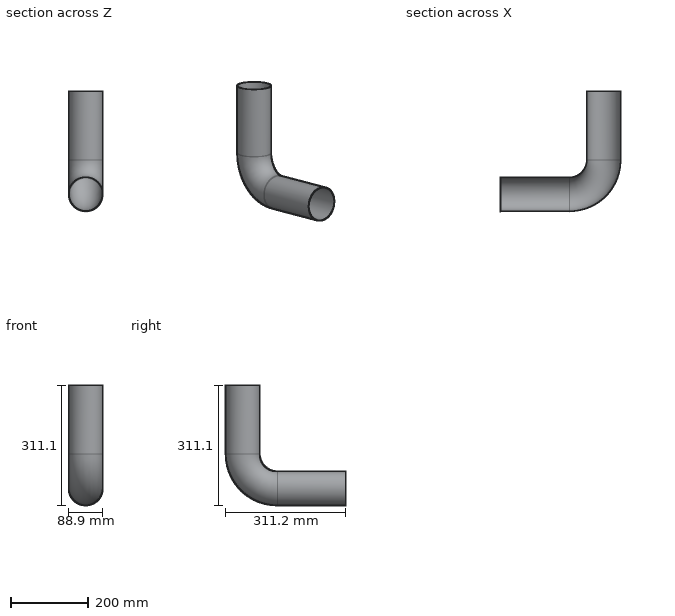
import cadquery as cq

outer_diameter = 88.9
inner_diameter = 85.7
bend_radius = outer_diameter
bend_angle = 90
leg_length = 2 * outer_diameter

leg_end = bend_radius + leg_length


def ring(workplane):
    """Draw the pipe cross-section, centred on the workplane origin."""
    return workplane.circle(outer_diameter / 2).circle(inner_diameter / 2)


def vertical_leg():
    """Straight pipe from the upper end of the elbow to the open top."""
    start = cq.Workplane("XY").workplane(offset=bend_radius)
    return ring(start).extrude(leg_length)


def elbow():
    """Quarter-turn bend joining the vertical leg to the horizontal leg."""
    start = cq.Workplane("XY").workplane(offset=bend_radius)
    return ring(start).revolve(bend_angle, (0, bend_radius, 0), (1, bend_radius, 0))


def horizontal_leg():
    """Straight pipe along +Y from the lower end of the elbow."""
    open_end = cq.Workplane("XZ", origin=(0, leg_end, 0))
    return ring(open_end).extrude(leg_length)


result = vertical_leg().union(elbow()).union(horizontal_leg())